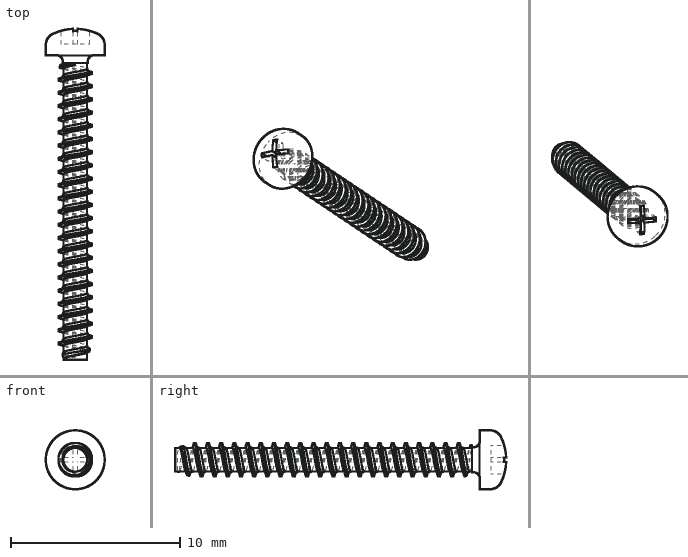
import cadquery as cq
import math


head_radius = 1.75
head_height = 1.576
head_rim_height = 0.6
head_shoulder_height = 1.25
head_shoulder_end_radius = 1.38

recess_wing_width = 0.25
recess_span = 1.7
recess_depth = 0.9

shank_length = 18.0
core_radius = 0.70
neck_radius = 0.75
neck_fillet = 0.35
neck_length = 0.46

thread_radius = 1.0
thread_pitch = 0.78
thread_turns = 22.5
thread_start = neck_length
thread_start_angle = 90.0
crest_half_width = 0.03
flank_foot_radius = 0.78
flank_foot_half_width = 0.08
root_radius = 0.67
root_head_width = 0.32
root_tip_width = 0.14

run_in_radius = 0.85
run_in_length = 0.5
run_out_length = 0.8
run_out_end = shank_length - 0.15

trim_inner_radius = 0.6
trim_outer_radius = 1.3


def make_head():
    """Revolved head: cylindrical rim, shoulder arc and a shallow dome with its apex on the axis."""
    dome_rise = head_height - head_shoulder_height
    dome_radius = (head_shoulder_end_radius**2 + dome_rise**2) / (2 * dome_rise)
    dome_half_angle = math.asin(head_shoulder_end_radius / dome_radius) / 2
    dome_mid = (
        dome_radius * math.sin(dome_half_angle),
        -head_height + dome_radius * (1 - math.cos(dome_half_angle)),
    )
    return (
        cq.Workplane("XZ")
        .moveTo(0, 0)
        .lineTo(head_radius, 0)
        .lineTo(head_radius, -head_rim_height)
        .tangentArcPoint((head_shoulder_end_radius, -head_shoulder_height), relative=False)
        .threePointArc(dome_mid, (0, -head_height))
        .close()
        .revolve(360, (0, 0), (0, 1))
    )


def make_recess():
    """Cross recess cut into the top of the head."""
    wing_along_x = cq.Workplane("XY").box(recess_span, recess_wing_width, recess_depth)
    wing_along_y = cq.Workplane("XY").box(recess_wing_width, recess_span, recess_depth)
    return wing_along_x.union(wing_along_y).translate((0, 0, recess_depth / 2 - head_height))


def make_shank():
    """Core cylinder with a slightly thicker neck that flares into the head."""
    flare_radius = neck_radius + neck_fillet
    flare_mid = (
        flare_radius - neck_fillet * math.sin(math.pi / 4),
        neck_fillet * (1 - math.cos(math.pi / 4)),
    )
    return (
        cq.Workplane("XZ")
        .moveTo(0, 0)
        .lineTo(flare_radius, 0)
        .threePointArc(flare_mid, (neck_radius, neck_fillet))
        .lineTo(neck_radius, neck_length)
        .lineTo(core_radius, neck_length)
        .lineTo(core_radius, shank_length)
        .lineTo(0, shank_length)
        .close()
        .revolve(360, (0, 0), (0, 1))
    )


def revolve_outline(points):
    """Solid of revolution about Z from a closed outline of (radius, z) points."""
    return cq.Workplane("XZ").polyline(points).close().revolve(360, (0, 0), (0, 1))


def make_run_in_trim():
    """Ring around the neck that removes the thread there and cones its first crest."""
    cone_slope = run_in_length / (thread_radius - run_in_radius)
    cone_end = thread_start + cone_slope * (trim_outer_radius - run_in_radius)
    return revolve_outline(
        [
            (trim_inner_radius, 0),
            (trim_inner_radius, thread_start),
            (run_in_radius, thread_start),
            (trim_outer_radius, cone_end),
            (trim_outer_radius, 0),
        ]
    )


def make_run_out_trim():
    """Ring around the tip that cones the last crest down into the core."""
    cone_slope = run_out_length / (thread_radius - core_radius)
    ring_end = shank_length + thread_pitch
    return revolve_outline(
        [
            (trim_outer_radius, run_out_end - cone_slope * (trim_outer_radius - core_radius)),
            (trim_inner_radius, run_out_end + cone_slope * (core_radius - trim_inner_radius)),
            (trim_inner_radius, ring_end),
            (trim_outer_radius, ring_end),
        ]
    )


def make_thread():
    """Right-hand helical ridge with a narrow crest and a foot widened on the head side."""
    path = cq.Wire.makeHelix(thread_pitch, thread_turns * thread_pitch, core_radius)
    ridge = (
        cq.Workplane("XZ")
        .polyline(
            [
                (root_radius, -root_head_width),
                (flank_foot_radius, -flank_foot_half_width),
                (thread_radius, -crest_half_width),
                (thread_radius, crest_half_width),
                (flank_foot_radius, flank_foot_half_width),
                (root_radius, root_tip_width),
            ]
        )
        .close()
        .sweep(cq.Workplane(obj=path), isFrenet=True)
        .rotate((0, 0, 0), (0, 0, 1), thread_start_angle)
        .translate((0, 0, thread_start))
    )
    return ridge.cut(make_run_in_trim(), clean=False).cut(make_run_out_trim(), clean=False)


screw = make_head().cut(make_recess()).union(make_shank()).union(make_thread(), clean=False)

result = screw.rotate((0, 0, 0), (1, 0, 0), 90)